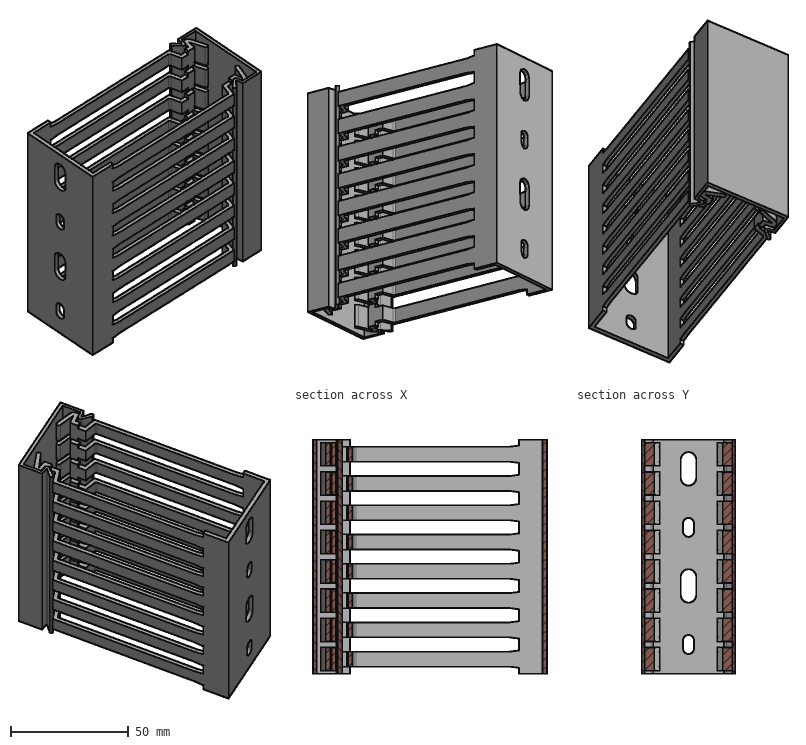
import cadquery as cq
import math


WIDTH = 40.1
HEIGHT = 100.0
LENGTH = 100.0

FLOOR_THICKNESS = 2.0
WALL_THICKNESS = 1.8

FINGER_COUNT = 8
PITCH = LENGTH / FINGER_COUNT
SLOT_WIDTH = 6.0
SLOT_END_WIDTH = 5.0
SLOT_BOTTOM = 12.1
SLOT_TAPER_TOP = 15.9
HOOK_SLOT_WIDTH = 2.5
HOOK_SLOT_BOTTOM = 87.9

HOLE_SPACING = 2 * PITCH
LONG_HOLE = (14.2, 6.5)
SHORT_HOLE = (8.0, 4.6)

COVER_TOP = 1.7
COVER_SIDE = 1.3

SHOULDER_OUTER_DEPTH = 16.2
SHOULDER_SLOPE = 0.3
SHOULDER_INNER_DEPTH = 17.7
SHOULDER_FILLET = 0.8
POST_OUTER_X = 5.6
POST_INNER_X = 7.7
POST_INNER_DEPTH = 15.9
LEDGE_UNDERSIDE_DEPTH = 9.6
LEDGE_CORNER_DEPTH = 10.1
LEDGE_TOP_DEPTH = 8.4
NOTCH_ROOT = (3.6, 7.8)
HEEL_DEPTH = 7.6
HEEL_MIDDLE = (1.9, 6.7)
HEEL_END_X = 3.2
TIP_X = 10.4
TIP_DEPTH = 4.3
TIP_RADIUS = 0.95
TIP_LEAN = math.radians(19)

LIP_OUTER_CORNER_DEPTH = 11.1
LIP_OUTER_BEND = (3.7, 11.6)
LIP_OUTER_BEND_RADIUS = 0.3
LIP_OUTER_END_DEPTH = 14.7
LIP_INNER_CORNER_DEPTH = 10.0
LIP_INNER_BEND = (6.2, 10.7)
LIP_INNER_BEND_RADIUS = 1.2
LIP_INNER_END_X = 1.2
LIP_TOE_FILLET = 0.6


def shoulder_depth(x):
    """Depth of the sloping outer face of the finger shoulder, on which the cover lip rests."""
    return SHOULDER_OUTER_DEPTH - SHOULDER_SLOPE * x


def place(x, depth):
    """Point in the XY plane, from the distance to the -X side and the depth below the cover top."""
    return (x - WIDTH / 2, HEIGHT - depth)


def mirrored_extrusion(half_outline, rounded_corners):
    """Extrude the -X half of a symmetric section over the length and add its mirror image.

    Each rounded corner is its X from the side, its depth and its fillet radius.
    """
    half = half_outline.close().extrude(LENGTH)
    for x, depth, radius in rounded_corners:
        corner = (*place(x, depth), LENGTH / 2)
        half = half.edges("|Z").edges(cq.selectors.NearestToPointSelector(corner)).fillet(radius)
    return half.union(half.mirror("YZ")).clean()


def trunk_section():
    """Half section of the trunk: floor, side wall, shoulder, post, ledge and leaning hook."""
    along = (math.cos(TIP_LEAN), -math.sin(TIP_LEAN))
    across = (math.sin(TIP_LEAN), math.cos(TIP_LEAN))
    tip_upper = (TIP_X - TIP_RADIUS * across[0], TIP_DEPTH - TIP_RADIUS * across[1])
    tip_lower = (TIP_X + TIP_RADIUS * across[0], TIP_DEPTH + TIP_RADIUS * across[1])
    tip_front = (TIP_X + TIP_RADIUS * along[0], TIP_DEPTH + TIP_RADIUS * along[1])
    heel_end_depth = tip_upper[1] + (tip_upper[0] - HEEL_END_X) * math.tan(TIP_LEAN)
    return (
        cq.Workplane("XY")
        .moveTo(0, 0)
        .lineTo(*place(0, HEIGHT))
        .lineTo(*place(0, SHOULDER_OUTER_DEPTH))
        .lineTo(*place(POST_OUTER_X, shoulder_depth(POST_OUTER_X)))
        .lineTo(*place(POST_OUTER_X, LEDGE_CORNER_DEPTH))
        .lineTo(*place(COVER_SIDE, LEDGE_UNDERSIDE_DEPTH))
        .lineTo(*place(COVER_SIDE, HEEL_DEPTH))
        .threePointArc(place(*HEEL_MIDDLE), place(HEEL_END_X, heel_end_depth))
        .lineTo(*place(*tip_upper))
        .threePointArc(place(*tip_front), place(*tip_lower))
        .lineTo(*place(*NOTCH_ROOT))
        .lineTo(*place(POST_INNER_X, LEDGE_TOP_DEPTH))
        .lineTo(*place(POST_INNER_X, POST_INNER_DEPTH))
        .lineTo(*place(WALL_THICKNESS, SHOULDER_INNER_DEPTH))
        .lineTo(*place(WALL_THICKNESS, HEIGHT - FLOOR_THICKNESS))
        .lineTo(0, FLOOR_THICKNESS)
    )


def finger_slot(z):
    """Cutter for one gap through both walls: tapered at the bottom, narrow at the hooks."""
    half_end = SLOT_END_WIDTH / 2
    half_slot = SLOT_WIDTH / 2
    half_hook = HOOK_SLOT_WIDTH / 2
    edge = [
        (SLOT_BOTTOM, half_end),
        (SLOT_TAPER_TOP, half_slot),
        (HOOK_SLOT_BOTTOM, half_slot),
        (HOOK_SLOT_BOTTOM, half_hook),
        (HEIGHT, half_hook),
    ]
    outline = [(y, z + half) for y, half in edge] + [(y, z - half) for y, half in reversed(edge)]
    return cq.Workplane("YZ").polyline(outline).close().extrude(WIDTH / 2, both=True)


def mounting_hole(z, size):
    """Cutter for one oblong hole through the floor, long in Z."""
    return (
        cq.Workplane("XZ", origin=(0, 0, z))
        .slot2D(*size, angle=90)
        .extrude(-FLOOR_THICKNESS)
    )


def make_trunk():
    rounded_corners = [(WALL_THICKNESS, SHOULDER_INNER_DEPTH, SHOULDER_FILLET)]
    trunk = mirrored_extrusion(trunk_section(), rounded_corners)
    for index in range(FINGER_COUNT + 1):
        trunk = trunk.cut(finger_slot(index * PITCH))
    for index in range(FINGER_COUNT // 2):
        size = LONG_HOLE if index % 2 else SHORT_HOLE
        trunk = trunk.cut(mounting_hole(PITCH + index * HOLE_SPACING, size))
    return trunk


def cover_section():
    """Half section of the cover: top, side and V-shaped snap lip that rests on the shoulder."""
    return (
        cq.Workplane("XY")
        .moveTo(0, HEIGHT)
        .lineTo(*place(0, 0))
        .lineTo(*place(0, LIP_OUTER_CORNER_DEPTH))
        .lineTo(*place(*LIP_OUTER_BEND))
        .lineTo(*place(0, LIP_OUTER_END_DEPTH))
        .lineTo(*place(0, SHOULDER_OUTER_DEPTH))
        .lineTo(*place(LIP_INNER_END_X, shoulder_depth(LIP_INNER_END_X)))
        .lineTo(*place(*LIP_INNER_BEND))
        .lineTo(*place(COVER_SIDE, LIP_INNER_CORNER_DEPTH))
        .lineTo(*place(COVER_SIDE, COVER_TOP))
        .lineTo(0, HEIGHT - COVER_TOP)
    )


def make_cover():
    rounded_corners = [
        (*LIP_OUTER_BEND, LIP_OUTER_BEND_RADIUS),
        (*LIP_INNER_BEND, LIP_INNER_BEND_RADIUS),
        (0, SHOULDER_OUTER_DEPTH, LIP_TOE_FILLET),
    ]
    return mirrored_extrusion(cover_section(), rounded_corners)


trunk = make_trunk()
cover = make_cover()

result = cq.Compound.makeCompound([*trunk.solids().vals(), *cover.solids().vals()])